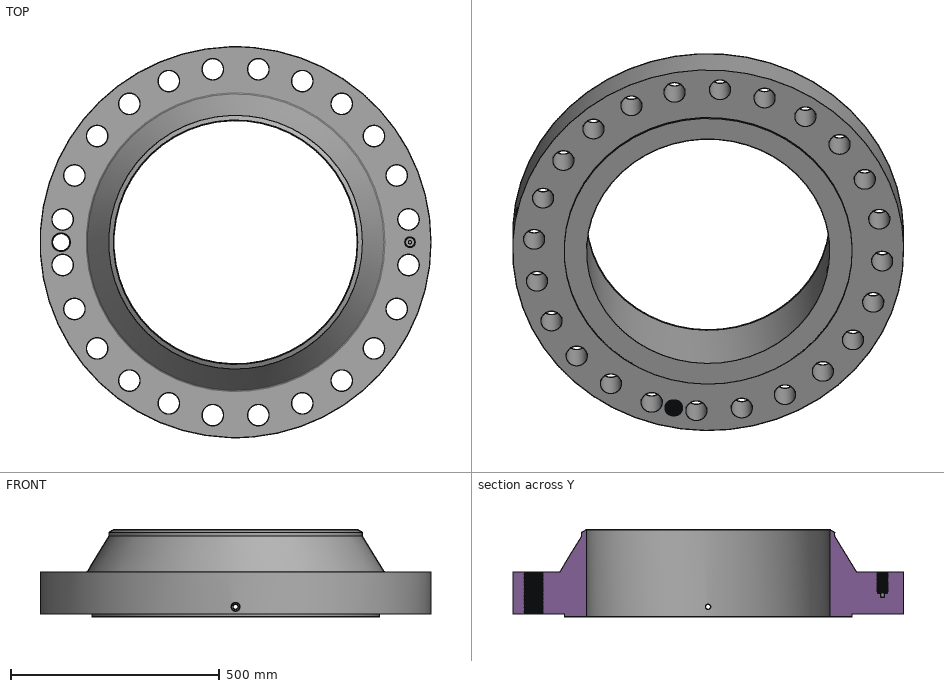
import cadquery as cq
import math


INCH = 25.4

flange_diameter = 37.0 * INCH
flange_thickness = 4.0 * INCH
raised_face_diameter = 27.25 * INCH
raised_face_height = 0.25 * INCH
hub_base_diameter = 28.125 * INCH
hub_base_fillet = 3.2
weld_end_diameter = 24.0 * INCH
bore_diameter = 23.0 * INCH
total_height = 8.25 * INCH

weld_land = 1.6
bevel_angle = 30.0
weld_end_straight = 9.5

stud_count = 24
stud_circle_diameter = 33.0 * INCH
stud_hole_diameter = 2.0 * INCH

jack_screw_diameter = 1.75 * INCH
jack_screw_pitch = INCH / 8
lifting_eye_diameter = 1.0 * INCH
lifting_eye_pitch = INCH / 8
lifting_eye_depth = 2.0 * lifting_eye_diameter
eye_pilot_diameter = 8.0
eye_pilot_depth = 10.0
threaded_hole_radius = stud_circle_diameter / 2

tap_height = 24.0
tap_drill_diameter = 12.0
tap_thread_diameter = 0.84 * INCH
tap_thread_pitch = INCH / 14
tap_thread_depth = 0.8 * INCH

THREAD_DEPTH_RATIO = 5 / 8 * math.sqrt(3) / 2
CREST_FLAT_RATIO = 1 / 4
ROOT_FLAT_RATIO = 1 / 8

flange_back = raised_face_height + flange_thickness


def flange_body():
    """Revolved body: raised face, flange, tapered hub and bevelled weld end."""
    bore_r = bore_diameter / 2
    weld_r = weld_end_diameter / 2
    land_r = bore_r + weld_land
    bevel_height = (weld_r - land_r) * math.tan(math.radians(bevel_angle))
    bevel_bottom = total_height - bevel_height
    profile = [
        (bore_r, 0),
        (raised_face_diameter / 2, 0),
        (raised_face_diameter / 2, raised_face_height),
        (flange_diameter / 2, raised_face_height),
        (flange_diameter / 2, flange_back),
        (hub_base_diameter / 2, flange_back),
        (weld_r, bevel_bottom - weld_end_straight),
        (weld_r, bevel_bottom),
        (land_r, total_height),
        (bore_r, total_height),
    ]
    body = cq.Workplane("XZ").polyline(profile).close().revolve(360, (0, 0), (0, 1))
    back_face_edges = body.faces("|Z").faces(">Z[-2]").edges()
    return back_face_edges.edges(cq.selectors.RadiusNthSelector(0)).fillet(hub_base_fillet)


def stud_holes():
    """Ring of through holes straddling the X and Y axes."""
    half_step = 180 / stud_count
    return (
        cq.Workplane("XY")
        .polarArray(stud_circle_diameter / 2, half_step, 360, stud_count)
        .circle(stud_hole_diameter / 2)
        .extrude(flange_back)
    )


def threaded_hole(diameter, pitch, depth):
    """Cutter from Z = 0 down to -depth: a countersunk mouth, then a ring groove at every pitch."""
    major_r = diameter / 2
    minor_r = major_r - THREAD_DEPTH_RATIO * pitch
    crest = CREST_FLAT_RATIO * pitch
    root = ROOT_FLAT_RATIO * pitch
    flank = (pitch - crest - root) / 2
    profile = [(0, 0), (major_r, 0), (minor_r, -flank)]
    for turn in range(int((depth - flank) / pitch)):
        groove_top = -flank - turn * pitch - crest
        profile += [
            (minor_r, groove_top),
            (major_r, groove_top - flank),
            (major_r, groove_top - flank - root),
            (minor_r, groove_top - 2 * flank - root),
        ]
    profile += [(minor_r, -depth), (0, -depth)]
    return cq.Workplane("XZ").polyline(profile).close().revolve(360, (0, 0), (0, 1))


def jack_screw_hole():
    """Through thread on the -X side."""
    cutter = threaded_hole(jack_screw_diameter, jack_screw_pitch, flange_thickness)
    return cutter.translate((-threaded_hole_radius, 0, flange_back))


def lifting_eye_hole():
    """Blind thread on the +X side, with a small pilot hole in its floor."""
    cutter = threaded_hole(lifting_eye_diameter, lifting_eye_pitch, lifting_eye_depth)
    pilot_depth = lifting_eye_depth + eye_pilot_depth
    pilot = cq.Workplane("XY").circle(eye_pilot_diameter / 2).extrude(-pilot_depth)
    cutter = cutter.union(pilot)
    return cutter.translate((threaded_hole_radius, 0, flange_back))


def pressure_tap(side):
    """Radial tap from the rim to the bore; side is -1 for -Y and +1 for +Y."""
    drill = cq.Workplane("XY").circle(tap_drill_diameter / 2).extrude(-flange_diameter / 2)
    thread = threaded_hole(tap_thread_diameter, tap_thread_pitch, tap_thread_depth)
    cutter = drill.union(thread).rotate((0, 0, 0), (1, 0, 0), -90 * side)
    return cutter.translate((0, side * flange_diameter / 2, tap_height))


result = flange_body().cut(stud_holes())
result = result.cut(jack_screw_hole()).cut(lifting_eye_hole())
for tap_side in (-1, 1):
    result = result.cut(pressure_tap(tap_side))